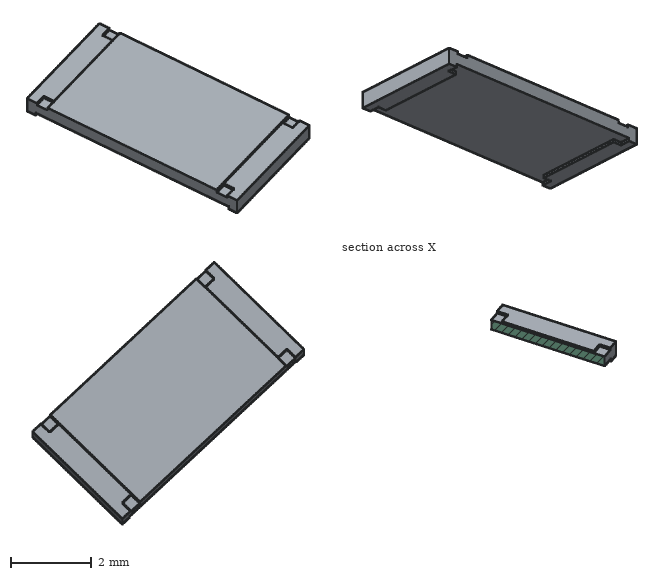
import cadquery as cq

LENGTH = 6.35
WIDTH = 3.2
HEIGHT = 0.47

END_THICKNESS = 0.08
PAD_THICKNESS = 0.08
COATING_THICKNESS = 0.08
TOP_THICKNESS = 0.065

TOP_REACH = 0.61
BOTTOM_REACH = 0.51

TOP_NOTCH_START = 0.3
BOTTOM_NOTCH_START = 0.26
NOTCH_WIDTH = 0.305

COATING_LEAN = 0.01

BODY_TOP = HEIGHT - COATING_THICKNESS
TERMINAL_TOP = BODY_TOP + TOP_THICKNESS


def block(x_min, x_max, z_min, z_max, width=WIDTH):
    """Box between the given X and Z limits, centred on Y."""
    return cq.Workplane("XY").box(
        x_max - x_min, width, z_max - z_min, centered=(False, True, False)
    ).translate((x_min, 0, z_min))


def strap(notch_start, reach, z_min, z_max):
    """Terminal layer with its two inner corners notched away."""
    outer = block(-LENGTH / 2, -LENGTH / 2 + notch_start, z_min, z_max)
    tongue = block(
        -LENGTH / 2, -LENGTH / 2 + reach, z_min, z_max, WIDTH - 2 * NOTCH_WIDTH
    )
    return outer.union(tongue)


def left_terminal():
    """Terminal wrapped around the -X end of the body."""
    end = block(-LENGTH / 2, -LENGTH / 2 + END_THICKNESS, 0, TERMINAL_TOP)
    top = strap(TOP_NOTCH_START, TOP_REACH, BODY_TOP, TERMINAL_TOP)
    bottom = strap(BOTTOM_NOTCH_START, BOTTOM_REACH, 0, PAD_THICKNESS)
    return end.union(top).union(bottom)


def coating():
    """Top layer between the terminals, with leaning end walls."""
    half_base = LENGTH / 2 - TOP_REACH
    half_top = half_base - COATING_LEAN
    outline = [
        (-half_base, BODY_TOP),
        (half_base, BODY_TOP),
        (half_top, HEIGHT),
        (-half_top, HEIGHT),
    ]
    return cq.Workplane("XZ").polyline(outline).close().extrude(WIDTH / 2, both=True)


half_body = LENGTH / 2 - END_THICKNESS
body = block(-half_body, half_body, PAD_THICKNESS, BODY_TOP)
terminal = left_terminal()

result = body.union(coating()).union(terminal).union(terminal.mirror("YZ"))